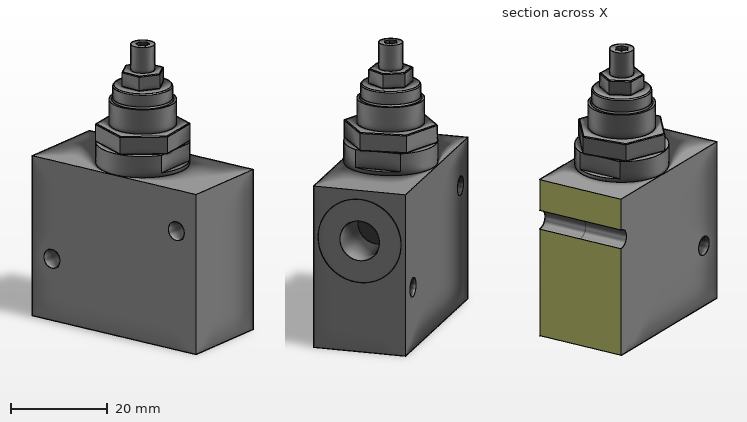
import cadquery as cq
import math

block_length = 42.0
block_width = 20.0
block_height = 34.95

mount_hole_dia = 4.1
mount_hole_offset = 15.95
mount_hole_low_z = 13.45
mount_hole_high_z = 25.95

port_z = 24.0
port_dia = 8.6
port_depth = 12.2
spotface_dia = 18.0
spotface_depth = 0.1

collar_dia = 19.5
collar_height = 4.6
collar_flange_height = 0.8
collar_flats = 16.85
cartridge_hex_flats = 17.0
cartridge_hex_height = 3.95
cartridge_hex_turn = 37.5
barrel_dia = 14.0
barrel_height = 5.3
cap_dia = 12.4
cap_base_dia = 12.9
cap_base_height = 0.35
cap_height = 3.15
cap_chamfer = 0.25

nut_flats = 8.0
nut_height = 3.3
nut_turn = -3.0
stud_dia = 5.0
socket_flats = 2.45
socket_depth = 2.5
socket_turn = 90.0

hex_bevel = 0.2
total_height = 60.9

collar_top = block_height + collar_height
hex_top = collar_top + cartridge_hex_height
barrel_top = hex_top + barrel_height
cap_top = barrel_top + cap_height
nut_top = cap_top + nut_height


def cylinder(diameter, bottom, top):
    return cq.Workplane("XY", origin=(0, 0, bottom)).circle(diameter / 2).extrude(top - bottom)


def hex_prism(across_flats, bottom, top, turn):
    """Hexagonal prism with one corner turned by the given angle from +X."""
    across_corners = across_flats / math.cos(math.pi / 6)
    prism = cq.Workplane("XY", origin=(0, 0, bottom)).polygon(6, across_corners).extrude(top - bottom)
    return prism.rotate((0, 0, 0), (0, 0, 1), turn)


def beveled_hex(across_flats, bottom, top, turn):
    return hex_prism(across_flats, bottom, top, turn).faces("<Z or >Z").chamfer(hex_bevel)


def make_block():
    block = cq.Workplane("XY").box(block_length, block_width, block_height, centered=(True, True, False))

    mount_holes = (
        cq.Workplane("XZ")
        .pushPoints([(-mount_hole_offset, mount_hole_low_z), (mount_hole_offset, mount_hole_high_z)])
        .circle(mount_hole_dia / 2)
        .extrude(block_width, both=True)
    )

    port_plane = cq.Workplane("YZ", origin=(-block_length / 2, 0, port_z))
    port = port_plane.circle(port_dia / 2).extrude(port_depth)
    spotface = port_plane.circle(spotface_dia / 2).extrude(spotface_depth)
    return block.cut(mount_holes).cut(port).cut(spotface)


def make_collar():
    """Round collar with two flats facing -X and +X above a thin full-round flange."""
    flange_top = block_height + collar_flange_height
    flange = cylinder(collar_dia, block_height, flange_top)
    flats = cq.Workplane("XY", origin=(0, 0, flange_top)).box(
        collar_flats, collar_dia, collar_top - flange_top, centered=(True, True, False)
    )
    upper = cylinder(collar_dia, flange_top, collar_top).intersect(flats)
    return flange.union(upper)


def make_cap():
    """Round cap with a conical foot and a chamfered top edge."""
    foot_top = barrel_top + cap_base_height
    return (
        cq.Workplane("XZ")
        .moveTo(0, barrel_top)
        .lineTo(cap_base_dia / 2, barrel_top)
        .lineTo(cap_dia / 2, foot_top)
        .lineTo(cap_dia / 2, cap_top - cap_chamfer)
        .lineTo(cap_dia / 2 - cap_chamfer, cap_top)
        .lineTo(0, cap_top)
        .close()
        .revolve(360, (0, 0, 0), (0, 1, 0))
    )


def make_cartridge():
    hexagon = beveled_hex(cartridge_hex_flats, collar_top, hex_top, cartridge_hex_turn)
    barrel = cylinder(barrel_dia, hex_top, barrel_top)
    return make_collar().union(hexagon).union(barrel).union(make_cap())


def make_adjuster():
    nut = beveled_hex(nut_flats, cap_top, nut_top, nut_turn)
    stud = cylinder(stud_dia, nut_top, total_height)
    socket = hex_prism(socket_flats, total_height - socket_depth, total_height, socket_turn)
    return nut.union(stud).cut(socket)


block = make_block()
cartridge = make_cartridge()
adjuster = make_adjuster()

result = cq.Compound.makeCompound([block.val(), cartridge.val(), adjuster.val()])